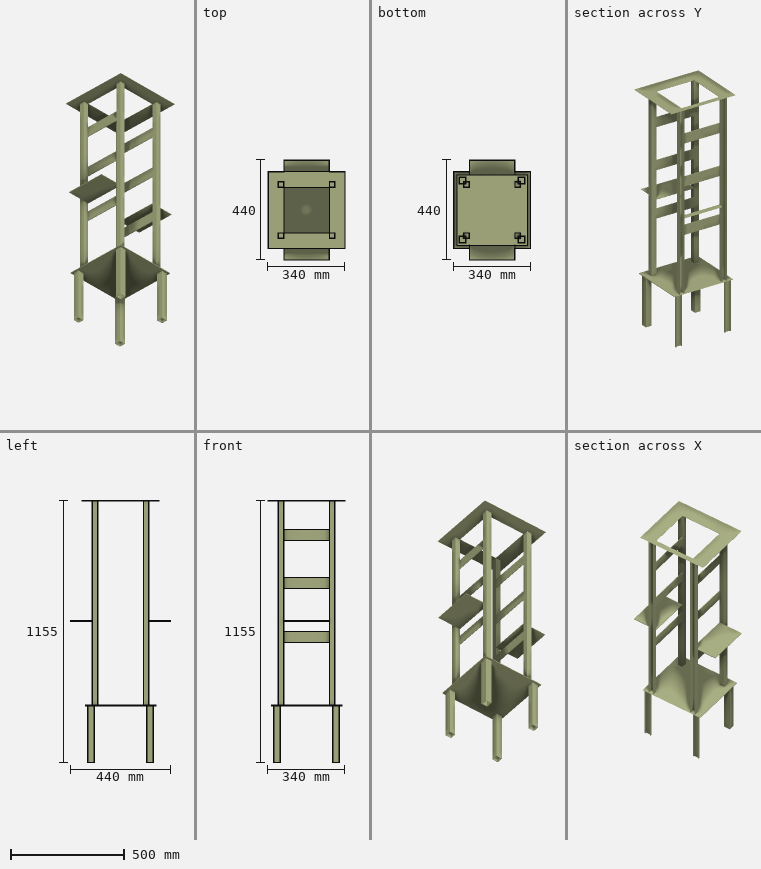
import cadquery as cq

total_height = 1155.0
top_plate_side = 340.0

post_gap = 200.0
post_side = 25.0
post_wall = 1.5
post_center = (post_gap + post_side) / 2

leg_side = 30.0
leg_height = 250.0
leg_wall = 2.0
leg_outer_span = 290.0
leg_center = (leg_outer_span - leg_side) / 2

base_plate_side = 310.0
base_plate_thickness = 3.0
top_plate_thickness = 1.5
shelf_depth = 120.0
shelf_thickness = 3.0
shelf_bottom = 622.0
rail_height = 50.0
rail_thickness = 3.0
rail_bottoms = (529.0, 767.0, 978.0)

base_plate_top = leg_height + base_plate_thickness
top_plate_bottom = total_height - top_plate_thickness
post_height = top_plate_bottom - base_plate_top


def block(size_x, size_y, height, bottom, y=0.0):
    """Box centred on X = 0 and the given Y, standing on the level `bottom`."""
    return cq.Workplane("XY", origin=(0, y, bottom)).rect(size_x, size_y).extrude(height)


def square_columns(side, center, height, bottom):
    """Four solid square columns at the corners of a square."""
    spacing = 2 * center
    return (
        cq.Workplane("XY", origin=(0, 0, bottom))
        .rect(spacing, spacing, forConstruction=True)
        .vertices()
        .rect(side, side)
        .extrude(height)
    )


def square_tubes(side, wall, center, height, bottom):
    """Four hollow square columns at the corners of a square."""
    bore = side - 2 * wall
    columns = square_columns(side, center, height, bottom)
    return columns.cut(square_columns(bore, center, height, bottom))


legs = square_tubes(leg_side, leg_wall, leg_center, leg_height, 0)
base_plate = block(base_plate_side, base_plate_side, base_plate_thickness, leg_height)

posts = square_tubes(post_side, post_wall, post_center, post_height, base_plate_top)

top_plate = block(top_plate_side, top_plate_side, top_plate_thickness, top_plate_bottom).cut(
    block(post_gap, post_gap, top_plate_thickness, top_plate_bottom)
)

result = legs.union(base_plate).union(posts).union(top_plate)

rail_y = (post_gap + rail_thickness) / 2
shelf_y = (post_gap + shelf_depth) / 2
for side in (-1, 1):
    result = result.union(block(post_gap, shelf_depth, shelf_thickness, shelf_bottom, side * shelf_y))
    for rail_bottom in rail_bottoms:
        result = result.union(block(post_gap, rail_thickness, rail_height, rail_bottom, side * rail_y))